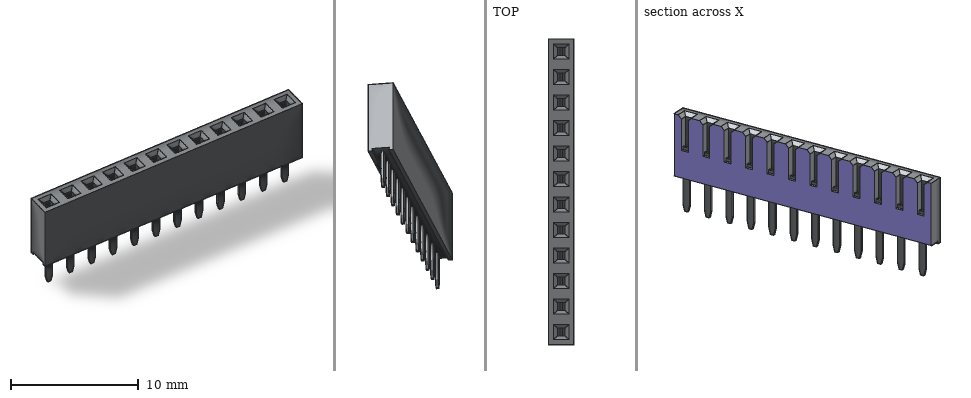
import cadquery as cq

POSITIONS = 12
BODY_LENGTH = 24.0
PITCH = BODY_LENGTH / POSITIONS
BODY_WIDTH = PITCH
TOTAL_HEIGHT = 8.3
PIN_EXPOSED = 2.7
BODY_HEIGHT = TOTAL_HEIGHT - PIN_EXPOSED

CHANNEL_WIDTH = 1.37
CHANNEL_DEPTH = 0.2

FUNNEL_SIDE = 1.2
HOLE_SIDE = 0.6
FUNNEL_DEPTH = (FUNNEL_SIDE - HOLE_SIDE) / 2
HOLE_DEPTH = 3.0

PIN_THICKNESS = 0.2
PIN_WIDTH = 0.6
PIN_TIP_WIDTH = 0.3
PIN_TIP_LENGTH = 0.6
PIN_RISE = 0.25

HOLE_FLOOR = BODY_HEIGHT - HOLE_DEPTH
POSITION_CENTERS = [(i - (POSITIONS - 1) / 2) * PITCH for i in range(POSITIONS)]


def make_housing():
    """Rectangular block with the underside channel cut along its full length."""
    block = cq.Workplane("XY").box(BODY_WIDTH, BODY_LENGTH, BODY_HEIGHT, centered=(True, True, False))
    channel = cq.Workplane("XY").box(CHANNEL_WIDTH, BODY_LENGTH, CHANNEL_DEPTH, centered=(True, True, False))
    return block.cut(channel)


def make_socket(y):
    """Volume removed for one opening: the funnel and the straight hole below it."""
    funnel = (
        cq.Workplane("XY", origin=(0, y, BODY_HEIGHT))
        .rect(FUNNEL_SIDE, FUNNEL_SIDE)
        .workplane(offset=-FUNNEL_DEPTH)
        .rect(HOLE_SIDE, HOLE_SIDE)
        .loft(ruled=True)
    )
    hole = (
        cq.Workplane("XY", origin=(0, y, HOLE_FLOOR))
        .rect(HOLE_SIDE, HOLE_SIDE)
        .extrude(HOLE_DEPTH - FUNNEL_DEPTH)
    )
    return funnel.union(hole)


def make_pin(y):
    """One flat pin from its tapered tip up to just above the hole floor."""
    half_width = PIN_WIDTH / 2
    half_tip = PIN_TIP_WIDTH / 2
    tip_z = -PIN_EXPOSED
    shoulder_z = tip_z + PIN_TIP_LENGTH
    top_z = HOLE_FLOOR + PIN_RISE
    outline = [
        (-half_tip, tip_z),
        (half_tip, tip_z),
        (half_width, shoulder_z),
        (half_width, top_z),
        (-half_width, top_z),
        (-half_width, shoulder_z),
    ]
    return (
        cq.Workplane("YZ", origin=(0, y, 0))
        .polyline(outline)
        .close()
        .extrude(PIN_THICKNESS / 2, both=True)
    )


result = make_housing()
for center_y in POSITION_CENTERS:
    result = result.cut(make_socket(center_y)).union(make_pin(center_y))